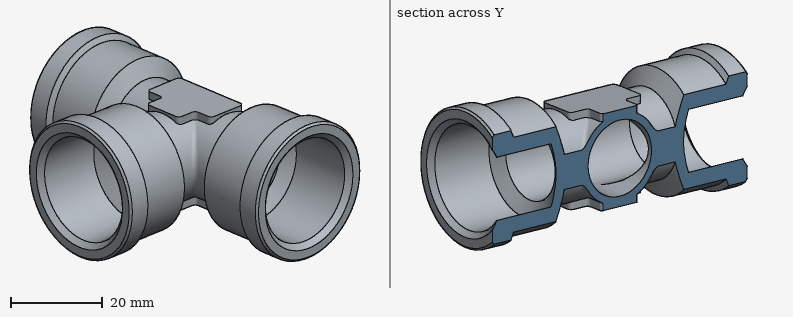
import cadquery as cq
import math

run_length = 71.0
port_reach = run_length / 2
collar_diameter = 32.0
collar_radius = collar_diameter / 2
collar_width = 6.0
collar_front_chamfer = 0.5
collar_back_chamfer = 0.8
body_radius = 14.7
body_end = 17.75
neck_radius = 10.6
taper_angle = 60.0
junction_fillet = 1.0

mouth_radius = 13.4
socket_radius = 12.15
mouth_chamfer_depth = 1.3
socket_depth = 16.3
bore_radius = 8.7

plate_length = 20.0
plate_half_width = 5.0
plate_stem_width = 10.1
plate_stem_end = 10.0
plate_corner_radius = 1.0
plate_height = 11.2


def shoulder_length(large_radius, small_radius):
    """Axial length of a cone between two radii."""
    return (large_radius - small_radius) / math.tan(math.radians(taper_angle))


def revolve_port(profile):
    """Revolve (radius, depth from mouth) points about the -Y branch axis."""
    points = [(radius, depth - port_reach) for radius, depth in profile]
    return cq.Workplane("XY").polyline(points).close().revolve(360, (0, 0, 0), (0, 1, 0))


def at_each_port(port):
    """Join copies of a -Y port at the branch and both ends of the run."""
    joined = port
    for angle in (-90, 90):
        joined = joined.union(port.rotate((0, 0, 0), (0, 0, 1), angle))
    return joined


def make_necks():
    """Run and branch tubes, blended where they meet."""
    taper_end = body_end + shoulder_length(body_radius, neck_radius)
    neck_reach = port_reach - taper_end
    run = cq.Workplane("YZ").circle(neck_radius).extrude(neck_reach, both=True)
    branch = cq.Workplane("XZ").circle(neck_radius).extrude(neck_reach)
    joint_zone = cq.selectors.BoxSelector(
        (-neck_radius, -neck_radius, -neck_radius),
        (neck_radius, -junction_fillet, neck_radius),
    )
    return run.union(branch).edges(joint_zone).fillet(junction_fillet)


def make_port_shell():
    """Collar, body and tapered shoulder of the -Y port."""
    taper_end = body_end + shoulder_length(body_radius, neck_radius)
    return revolve_port([
        (0, 0),
        (collar_radius - collar_front_chamfer, 0),
        (collar_radius, collar_front_chamfer),
        (collar_radius, collar_width - collar_back_chamfer),
        (body_radius, collar_width),
        (body_radius, body_end),
        (neck_radius, taper_end),
        (0, taper_end),
    ])


def make_port_bore():
    """Chamfered socket narrowing to the through bore of the -Y port."""
    cone_end = socket_depth + shoulder_length(socket_radius, bore_radius)
    return revolve_port([
        (0, 0),
        (mouth_radius, 0),
        (socket_radius, mouth_chamfer_depth),
        (socket_radius, socket_depth),
        (bore_radius, cone_end),
        (bore_radius, port_reach),
        (0, port_reach),
    ])


def make_label_plates():
    """T-shaped block with rounded corners, its ends standing proud above and below the necks."""
    bar = cq.Workplane("XY").rect(plate_length, 2 * plate_half_width).extrude(plate_height, both=True)
    stem = (
        cq.Workplane("XY")
        .center(0, -plate_stem_end / 2)
        .rect(plate_stem_width, plate_stem_end)
        .extrude(plate_height, both=True)
    )
    return bar.union(stem).edges("|Z").fillet(plate_corner_radius)


shell = make_necks().union(at_each_port(make_port_shell())).union(make_label_plates())
result = shell.cut(at_each_port(make_port_bore()))